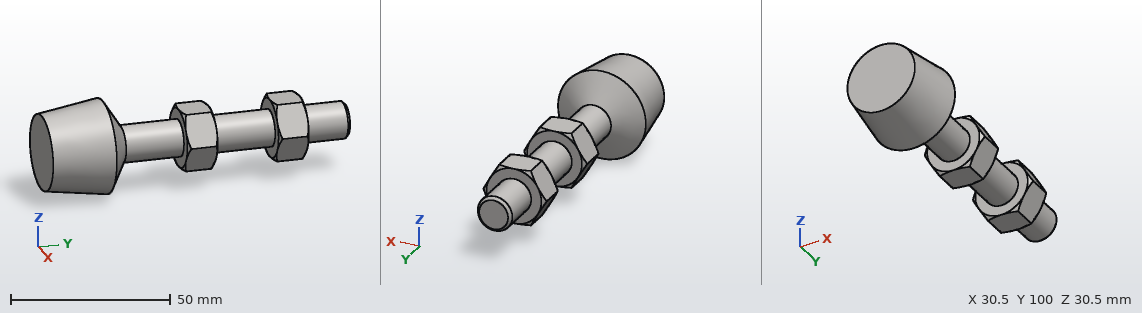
import cadquery as cq
import math

total_length = 100.0
rod_radius = 6.0
rod_end_chamfer = 1.0
foot_face_radius = 12.3
foot_max_radius = 15.25
foot_taper_length = 20.0
foot_shoulder_length = 6.0

nut_across_flats = 19.0
nut_across_corners = nut_across_flats / math.cos(math.radians(30))
nut_thickness = 10.0
nut_starts = (45.0, 75.0)
nut_face_radius = nut_across_flats / 2
nut_chamfer_angle = 30.0


def make_spindle():
    """Revolve the half profile of foot, shoulder and rod about the Y axis."""
    shoulder_end = foot_taper_length + foot_shoulder_length
    return (
        cq.Workplane("XY")
        .moveTo(0, 0)
        .lineTo(foot_face_radius, 0)
        .lineTo(foot_max_radius, foot_taper_length)
        .lineTo(rod_radius, shoulder_end)
        .lineTo(rod_radius, total_length - rod_end_chamfer)
        .lineTo(rod_radius - rod_end_chamfer, total_length)
        .lineTo(0, total_length)
        .close()
        .revolve(360, (0, 0), (0, 1))
    )


def make_nut(start):
    """Hexagon nut from Y = start, bored to fit the rod, corners chamfered on both faces."""
    corner_radius = nut_across_corners / 2
    end = start + nut_thickness
    chamfer_height = (corner_radius - nut_face_radius) * math.tan(math.radians(nut_chamfer_angle))

    hexagon = (
        cq.Workplane("XZ", origin=(0, start, 0))
        .polygon(6, nut_across_corners)
        .extrude(-nut_thickness)
    )
    envelope = (
        cq.Workplane("XY")
        .moveTo(rod_radius, start)
        .lineTo(nut_face_radius, start)
        .lineTo(corner_radius, start + chamfer_height)
        .lineTo(corner_radius, end - chamfer_height)
        .lineTo(nut_face_radius, end)
        .lineTo(rod_radius, end)
        .close()
        .revolve(360, (0, 0), (0, 1))
    )
    return hexagon.intersect(envelope).solids()


spindle = make_spindle()
nuts = [make_nut(start) for start in nut_starts]

result = cq.Compound.makeCompound([spindle.val(), *[nut.val() for nut in nuts]])